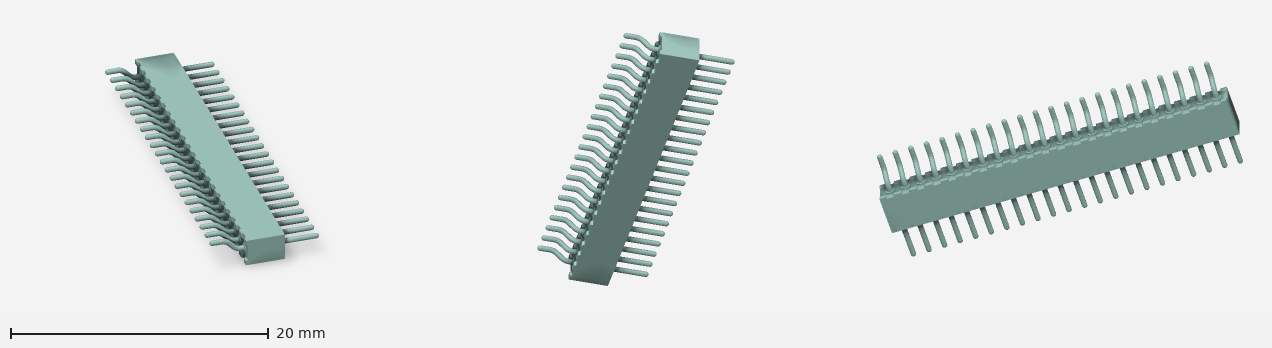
import cadquery as cq
import math

body_length = 28.35
body_depth = 3.18
body_height = 2.2
front_y = -body_depth / 2
back_y = body_depth / 2

pin_count = 22
row_length = 26.68
pin_pitch = row_length / (pin_count - 1)
first_pin_x = -row_length / 2
pin_positions = [first_pin_x + i * pin_pitch for i in range(pin_count)]
pin_radius = 0.213

recess_depth = 0.17
foot_base_height = 0.45
foot_gap = 0.55
foot_taper = 0.09
floor_y = front_y + recess_depth

collar_diameter = 0.77
collar_height = 0.09

back_reach = 3.03
front_reach = 2.7

bend_start = 0.17
bend_angle = math.radians(45)
bend_radius = 0.8
leg_rise = 0.88


def tapered_bar(floor_width, length):
    """Trapezoid bar along Z: floor_width wide at the recess floor, wider at the front face."""
    floor_half = floor_width / 2
    face_half = floor_half + foot_taper
    outline = [
        (-floor_half, floor_y),
        (floor_half, floor_y),
        (face_half, front_y),
        (-face_half, front_y),
    ]
    return cq.Workplane("XY").polyline(outline).close().extrude(length / 2, both=True)


def housing():
    """Block with a channel along its front face, and a gap through the feet at each pin."""
    channel = tapered_bar(body_height - 2 * foot_base_height, body_length)
    channel = channel.rotate((0, 0, 0), (0, 1, 0), 90)
    block = cq.Workplane("XY").box(body_length, body_depth, body_height).cut(channel)
    gap = tapered_bar(foot_gap, body_height)
    for x in pin_positions:
        block = block.cut(gap.translate((x, 0, 0)))
    return block


def pin():
    """Straight tail at the back and an S-bent leg at the front, rounded ends, at X = 0."""
    tail_end = back_y + back_reach - pin_radius
    leg_end = front_y - front_reach + pin_radius

    arc_run = bend_radius * math.sin(bend_angle)
    arc_rise = bend_radius * (1 - math.cos(bend_angle))
    half_run = bend_radius * math.sin(bend_angle / 2)
    half_rise = bend_radius * (1 - math.cos(bend_angle / 2))
    slope_run = (leg_rise - 2 * arc_rise) / math.tan(bend_angle)
    bend_y = front_y - bend_start
    bend_end_y = bend_y - 2 * arc_run - slope_run

    path = (
        cq.Workplane("YZ")
        .moveTo(tail_end, 0)
        .lineTo(bend_y, 0)
        .threePointArc((bend_y - half_run, half_rise), (bend_y - arc_run, arc_rise))
        .lineTo(bend_end_y + arc_run, leg_rise - arc_rise)
        .threePointArc((bend_end_y + half_run, leg_rise - half_rise), (bend_end_y, leg_rise))
        .lineTo(leg_end, leg_rise)
    )
    wire = cq.Workplane("XZ", origin=(0, tail_end, 0)).circle(pin_radius).sweep(path)
    collar = (
        cq.Workplane("XZ", origin=(0, floor_y, 0))
        .circle(collar_diameter / 2)
        .extrude(collar_height)
    )
    tail_tip = cq.Workplane("XY").sphere(pin_radius).translate((0, tail_end, 0))
    leg_tip = cq.Workplane("XY").sphere(pin_radius).translate((0, leg_end, leg_rise))
    return wire.union(tail_tip).union(leg_tip).union(collar)


result = housing()
single_pin = pin()
for pin_x in pin_positions:
    result = result.union(single_pin.translate((pin_x, 0, 0)))